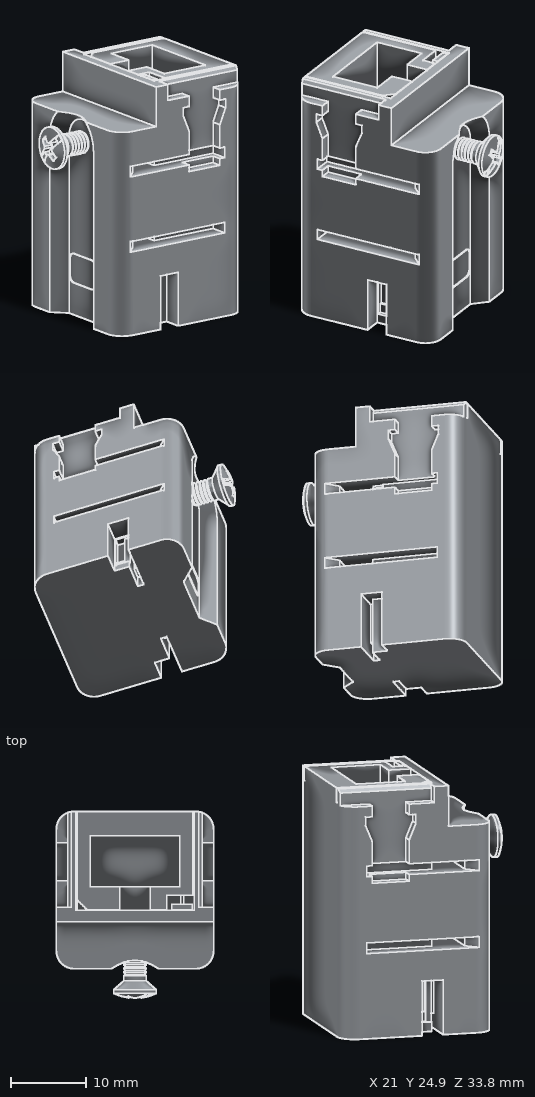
import cadquery as cq
import math

WIDTH = 21.0
HALF_WIDTH = WIDTH / 2
BODY_DEPTH = 21.0
FRONT_Y = -BODY_DEPTH / 2
BACK_Y = BODY_DEPTH / 2
HEIGHT = 33.8
CORNER_RADIUS = 2.4

STEP_Z = 28.3
STEP_Y = -4.25

SIDE_LEDGE_Z = 31.6
SIDE_WALL_X = 8.95
SIDE_LEDGE_FRONT_Y = -2.28
SIDE_BEVEL_WIDTH = 0.42
SIDE_BEVEL_HEIGHT = 0.5

KEY_CENTER_Y = 3.77
KEY_NECK_HALF = 2.55
KEY_HEAD_HALF = 3.48
KEY_HEAD_TOP_Z = 30.15
KEY_HEAD_LOW_Z = 28.95
KEY_TAPER_END_Z = 26.75
KEY_BOTTOM_Z = 21.12

INSERT_HALF_WIDTH = 7.9
INSERT_FRONT_Y = -2.67
INSERT_GAP = 0.2
INSERT_FRONT_GAP = 0.05
INSERT_GAP_DEPTH = 2.0
BLOCK_BACK_Y = -1.9

POCKET_HALF_WIDTH = 5.97
POCKET_BACK_Y = 7.27
POCKET_FRONT_Y = 0.46
POCKET_DEPTH = 15.0
NOTCH_HALF_WIDTH = 2.03
NOTCH_DEPTH = 12.0

CORNER_POCKET_X = 4.23
CORNER_POCKET_BACK_Y = -0.72
CORNER_POCKET_DEPTH = 8.0
CORNER_BLOCK_X = (4.88, 7.6)
CORNER_RIB_X = (6.08, 6.47)
CORNER_RIB_HEIGHT = 0.5
CORNER_TRIANGLE_LEG = 1.35

SLOT_HEIGHT = 1.46
UPPER_SLOT_Z = 22.04
LOWER_SLOT_Z = 11.6
SLOT_BACK_Y = 7.1
SLOT_FRONT_Y = -8.57
SLOT_DEEP_FRONT_Y = -6.95
SLOT_DEEP_X = 0.7
SLOT_RAMP_DEPTH = SLOT_DEEP_FRONT_Y - SLOT_FRONT_Y
SLOT_NICK_BACK_Y = -1.24
SLOT_NICK_HEIGHT = 0.4
FACE_NICK_DEPTH = 0.3

SCREW_BOSS_RADIUS = 2.6

FOOT_NOTCH_BACK_Y = -0.59
FOOT_NOTCH_FRONT_Y = -3.5
FOOT_NOTCH_TOP_Z = 7.45
FOOT_CHANNEL_X = 6.0
FOOT_CHANNEL_DEEP_X = 4.5
FOOT_CHANNEL_STEP_Z = 2.1
FOOT_WINDOW_BACK_Y = -0.75
FOOT_WINDOW_Z = (1.3, 7.2)
FOOT_WINDOW_STEP_Z = 2.6

AXIS_Z = 24.5
GROOVE_HALF_FLOOR = 3.08
GROOVE_HALF_MOUTH = 4.93
GROOVE_DEPTH = GROOVE_HALF_MOUTH - GROOVE_HALF_FLOOR
GROOVE_FLOOR_Y = FRONT_Y + GROOVE_DEPTH
PLATE_WIDTH = 5.9
PLATE_HEIGHT = 4.05
PLATE_CENTER_Z = 6.47
PLATE_RADIUS = 0.9
PLATE_DEPTH = 0.1

SCREW_TIP_Y = -14.44
SCREW_ROOT_Y = GROOVE_FLOOR_Y + 0.5
SHANK_RADIUS = 1.53
THREAD_ROOT_RADIUS = 1.3
THREAD_PITCH = 0.5
COLLAR_START_Y = -11.45
COLLAR_END_Y = -12.1
RIM_START_Y = -13.3
RIM_END_Y = -13.77
HEAD_RADIUS = 2.86
DRIVE_WIDTH = 0.9
DRIVE_ARM_LENGTH = 3.4
DRIVE_CORE_RADIUS = 0.83
DRIVE_DEPTH = 1.3
DRIVE_SLOT_FLOOR_Y = -13.8


def box(x_range, y_range, z_range):
    """Axis-aligned box spanning the given limits."""
    spans = (x_range, y_range, z_range)
    sizes = [high - low for low, high in spans]
    corner = cq.Vector(*[low for low, high in spans])
    return cq.Workplane(obj=cq.Solid.makeBox(*sizes, pnt=corner))


def cylinder_along_y(radius, y_range):
    """Cylinder around the screw axis."""
    start = cq.Vector(0, y_range[0], AXIS_Z)
    length = y_range[1] - y_range[0]
    return cq.Workplane(obj=cq.Solid.makeCylinder(radius, length, start, cq.Vector(0, 1, 0)))


def on_both_sides(left_cut):
    """A cutter made for the -X side together with its mirror image."""
    return left_cut.union(left_cut.mirror("YZ"))


def make_housing():
    housing = box((-HALF_WIDTH, HALF_WIDTH), (FRONT_Y, BACK_Y), (0, HEIGHT))
    housing = housing.edges("|Z").fillet(CORNER_RADIUS)
    step = box((-HALF_WIDTH, HALF_WIDTH), (FRONT_Y, STEP_Y), (STEP_Z, HEIGHT))
    return housing.cut(step)


def make_side_ledge():
    bevel_x = SIDE_WALL_X - SIDE_BEVEL_WIDTH
    profile = [
        (-HALF_WIDTH, SIDE_LEDGE_Z),
        (-SIDE_WALL_X, SIDE_LEDGE_Z),
        (-SIDE_WALL_X, HEIGHT - SIDE_BEVEL_HEIGHT),
        (-bevel_x, HEIGHT),
        (-HALF_WIDTH, HEIGHT),
    ]
    length = BACK_Y - SIDE_LEDGE_FRONT_Y
    return cq.Workplane("XZ", origin=(0, BACK_Y, 0)).polyline(profile).close().extrude(length)


def make_key_recess():
    half_outline = [
        (KEY_NECK_HALF, SIDE_LEDGE_Z),
        (KEY_NECK_HALF, KEY_HEAD_TOP_Z),
        (KEY_HEAD_HALF, KEY_HEAD_TOP_Z),
        (KEY_HEAD_HALF, KEY_HEAD_LOW_Z),
        (KEY_NECK_HALF, KEY_TAPER_END_Z),
        (KEY_NECK_HALF, KEY_BOTTOM_Z),
    ]
    back_side = [(KEY_CENTER_Y + offset, z) for offset, z in half_outline]
    front_side = [(KEY_CENTER_Y - offset, z) for offset, z in reversed(half_outline)]
    plane = cq.Workplane("YZ", origin=(-HALF_WIDTH, 0, 0))
    return plane.polyline(back_side + front_side).close().extrude(HALF_WIDTH - SIDE_WALL_X)


def make_side_slot(base_z):
    """Slot reaching the insert, deeper ahead of it, with a ramped front end."""
    outline = [
        (-HALF_WIDTH, SLOT_BACK_Y),
        (-INSERT_HALF_WIDTH, SLOT_BACK_Y),
        (-INSERT_HALF_WIDTH, INSERT_FRONT_Y),
        (-SLOT_DEEP_X, INSERT_FRONT_Y),
        (-SLOT_DEEP_X, SLOT_DEEP_FRONT_Y),
        (-HALF_WIDTH + SLOT_RAMP_DEPTH, SLOT_DEEP_FRONT_Y),
        (-HALF_WIDTH, SLOT_FRONT_Y),
    ]
    return cq.Workplane("XY", origin=(0, 0, base_z)).polyline(outline).close().extrude(SLOT_HEIGHT)


def make_upper_slot():
    """Side slot that leaves the round screw boss standing and has a nick in its floor."""
    boss = cylinder_along_y(SCREW_BOSS_RADIUS, (SLOT_DEEP_FRONT_Y, INSERT_FRONT_Y))
    slot_top_z = UPPER_SLOT_Z + SLOT_HEIGHT
    nick = box(
        (-INSERT_HALF_WIDTH, -INSERT_HALF_WIDTH + FACE_NICK_DEPTH),
        (INSERT_FRONT_Y, SLOT_NICK_BACK_Y),
        (slot_top_z - SLOT_NICK_HEIGHT, slot_top_z),
    )
    return make_side_slot(UPPER_SLOT_Z).cut(boss).union(nick)


def make_foot_notch():
    """Bottom notch reaching the insert, with a deeper channel ahead of the insert."""
    notch = box(
        (-HALF_WIDTH, -INSERT_HALF_WIDTH),
        (FOOT_NOTCH_FRONT_Y, FOOT_NOTCH_BACK_Y),
        (0, FOOT_NOTCH_TOP_Z),
    )
    channel_y = (FOOT_NOTCH_FRONT_Y, INSERT_FRONT_Y)
    channel = box((-HALF_WIDTH, -FOOT_CHANNEL_X), channel_y, (0, FOOT_NOTCH_TOP_Z))
    deep_channel = box((-HALF_WIDTH, -FOOT_CHANNEL_DEEP_X), channel_y, (0, FOOT_CHANNEL_STEP_Z))
    return notch.union(channel).union(deep_channel)


def make_foot_window():
    """Stepped window in the insert face behind the bottom notch on the -X side."""
    bottom_z, top_z = FOOT_WINDOW_Z
    levels = [
        (1, (INSERT_FRONT_Y, BLOCK_BACK_Y), bottom_z),
        (2, (BLOCK_BACK_Y, FOOT_WINDOW_BACK_Y), bottom_z),
        (3, (BLOCK_BACK_Y, FOOT_WINDOW_BACK_Y), FOOT_WINDOW_STEP_Z),
    ]
    window = cq.Workplane()
    for level, y_range, base_z in levels:
        x_range = (-INSERT_HALF_WIDTH, -INSERT_HALF_WIDTH + level * FACE_NICK_DEPTH)
        window = window.add(box(x_range, y_range, (base_z, top_z)))
    return window.combine()


def make_insert_gap():
    """Thin gap around the sides and front of the insert."""
    gap_z = (HEIGHT - INSERT_GAP_DEPTH, HEIGHT)
    insert_half = INSERT_HALF_WIDTH - INSERT_GAP
    opening = box((-INSERT_HALF_WIDTH, INSERT_HALF_WIDTH), (INSERT_FRONT_Y, BACK_Y), gap_z)
    insert_y = (INSERT_FRONT_Y + INSERT_FRONT_GAP, BACK_Y)
    return opening.cut(box((-insert_half, insert_half), insert_y, gap_z))


def make_pocket():
    main = box(
        (-POCKET_HALF_WIDTH, POCKET_HALF_WIDTH),
        (POCKET_FRONT_Y, POCKET_BACK_Y),
        (HEIGHT - POCKET_DEPTH, HEIGHT),
    )
    notch = box(
        (-NOTCH_HALF_WIDTH, NOTCH_HALF_WIDTH),
        (INSERT_FRONT_Y, POCKET_FRONT_Y),
        (HEIGHT - NOTCH_DEPTH, HEIGHT),
    )
    return main.union(notch)


def make_corner_pocket():
    """Pocket in the +X front corner of the insert, around a block and a low rib."""
    floor_z = HEIGHT - CORNER_POCKET_DEPTH
    pocket = box(
        (CORNER_POCKET_X, INSERT_HALF_WIDTH),
        (INSERT_FRONT_Y, CORNER_POCKET_BACK_Y),
        (floor_z, HEIGHT),
    )
    block = box(CORNER_BLOCK_X, (INSERT_FRONT_Y, BLOCK_BACK_Y), (floor_z, HEIGHT))
    rib = box(
        CORNER_RIB_X,
        (BLOCK_BACK_Y, CORNER_POCKET_BACK_Y),
        (floor_z, floor_z + CORNER_RIB_HEIGHT),
    )
    return pocket.cut(block).cut(rib)


def make_corner_triangle():
    """Opening left by the bevelled -X front corner of the insert."""
    corner_x = -INSERT_HALF_WIDTH + INSERT_GAP
    outline = [
        (corner_x, INSERT_FRONT_Y),
        (corner_x + CORNER_TRIANGLE_LEG, INSERT_FRONT_Y),
        (corner_x, INSERT_FRONT_Y + CORNER_TRIANGLE_LEG),
    ]
    plane = cq.Workplane("XY", origin=(0, 0, HEIGHT))
    return plane.polyline(outline).close().extrude(-CORNER_POCKET_DEPTH)


def make_front_groove():
    """Sloped-wall groove, open at the bottom, ending in a cone around the screw axis."""
    trapezoid = [
        (-GROOVE_HALF_MOUTH, FRONT_Y),
        (-GROOVE_HALF_FLOOR, GROOVE_FLOOR_Y),
        (GROOVE_HALF_FLOOR, GROOVE_FLOOR_Y),
        (GROOVE_HALF_MOUTH, FRONT_Y),
    ]
    straight = cq.Workplane("XY").polyline(trapezoid).close().extrude(AXIS_Z)
    cone = cq.Workplane(obj=cq.Solid.makeCone(
        GROOVE_HALF_MOUTH, GROOVE_HALF_FLOOR, GROOVE_DEPTH,
        cq.Vector(0, FRONT_Y, AXIS_Z), cq.Vector(0, 1, 0),
    ))
    return straight.union(cone)


def make_plate_recess():
    """Shallow rounded rectangle in the groove floor."""
    plate = cq.Workplane("XZ", origin=(0, GROOVE_FLOOR_Y, PLATE_CENTER_Z))
    return plate.rect(PLATE_WIDTH, PLATE_HEIGHT).extrude(-PLATE_DEPTH).edges("|Y").fillet(PLATE_RADIUS)


def make_screw_blank():
    """Turned screw body: ringed thread, collar, countersunk head with a domed face."""
    profile = cq.Workplane("XY", origin=(0, 0, AXIS_Z)).moveTo(0, SCREW_ROOT_Y)
    profile = profile.lineTo(THREAD_ROOT_RADIUS, SCREW_ROOT_Y)
    thread_count = math.floor((SCREW_ROOT_Y - COLLAR_START_Y) / THREAD_PITCH)
    for turn in range(thread_count, 0, -1):
        crest_y = COLLAR_START_Y + turn * THREAD_PITCH
        profile = profile.lineTo(SHANK_RADIUS, crest_y)
        profile = profile.lineTo(THREAD_ROOT_RADIUS, crest_y - THREAD_PITCH / 2)
    profile = profile.lineTo(SHANK_RADIUS, COLLAR_START_Y).lineTo(SHANK_RADIUS, COLLAR_END_Y)
    profile = profile.lineTo(HEAD_RADIUS, RIM_START_Y).lineTo(HEAD_RADIUS, RIM_END_Y)

    dome_height = RIM_END_Y - SCREW_TIP_Y
    dome_radius = (HEAD_RADIUS ** 2 + dome_height ** 2) / (2 * dome_height)
    half_angle = math.asin(HEAD_RADIUS / dome_radius) / 2
    dome_middle = (
        dome_radius * math.sin(half_angle),
        SCREW_TIP_Y + dome_radius * (1 - math.cos(half_angle)),
    )
    profile = profile.threePointArc(dome_middle, (0, SCREW_TIP_Y)).close()
    return profile.revolve(360, (0, 0, 0), (0, 1, 0))


def make_drive():
    """Cross recess with one pair of arms running on to the rim as a shallow slot."""
    cross_plane = cq.Workplane("XZ", origin=(0, SCREW_TIP_Y, AXIS_Z))
    drive = cross_plane.circle(DRIVE_CORE_RADIUS).extrude(-DRIVE_DEPTH)
    for arm_length, arm_width in ((DRIVE_ARM_LENGTH, DRIVE_WIDTH), (DRIVE_WIDTH, DRIVE_ARM_LENGTH)):
        drive = drive.union(cross_plane.rect(arm_length, arm_width).extrude(-DRIVE_DEPTH))
    slot_depth = DRIVE_SLOT_FLOOR_Y - SCREW_TIP_Y
    slot_length = 2 * (HEAD_RADIUS + DRIVE_WIDTH)
    drive = drive.union(cross_plane.rect(slot_length, DRIVE_WIDTH).extrude(-slot_depth))
    return drive.rotate((0, 0, AXIS_Z), (0, 1, AXIS_Z), -45)


body = make_housing()
for side_cut in (
    make_side_ledge(),
    make_key_recess(),
    make_upper_slot(),
    make_side_slot(LOWER_SLOT_Z),
    make_foot_notch(),
):
    body = body.cut(on_both_sides(side_cut))

for single_cut in (
    make_insert_gap(),
    make_foot_window(),
    make_pocket(),
    make_corner_pocket(),
    make_corner_triangle(),
    make_front_groove(),
    make_plate_recess(),
):
    body = body.cut(single_cut)

result = body.union(make_screw_blank().cut(make_drive()))